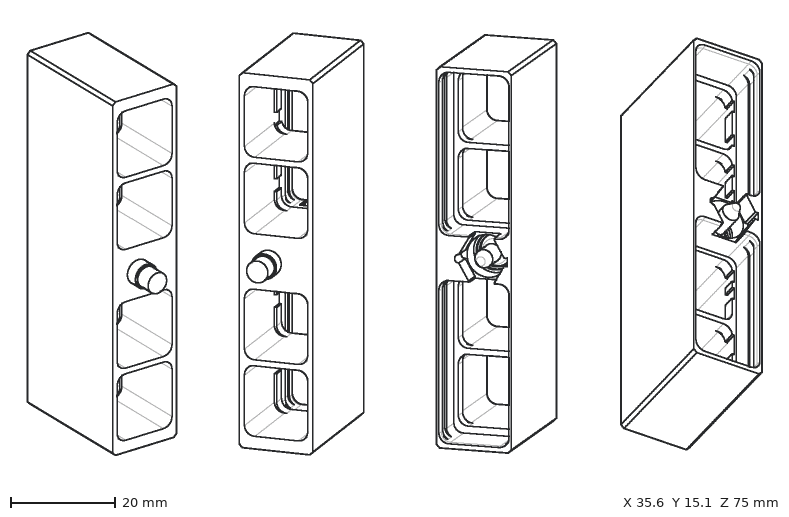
import cadquery as cq
import math

length_x = 28.05
width_y = 15.1
height_z = 75.0
edge_chamfer = 0.7

pocket_half_width = 6.9
pocket_inner_z = 4.6
pocket_outer_z = 36.4
pocket_depth = 8.85
pocket_radius = 1.9
lead_in_depth = 0.9
lead_in_taper = 0.15

groove_start = 2.0
groove_width = 2.25
groove_recess = 0.34
groove_end_gap = 0.15

window_width = 12.0
window_height = 14.1
window_pitch = 15.3
inner_window_z = 12.6
window_radius = 2.0
seat_thickness = 2.7
cavity_side_step = 0.45

notch_height = 2.55
notch_spacing_step = 2.0
notch_top_offset = 1.9

screw_y = -1.5
recess_depth = 4.05
hex_apothem = 4.35
web_slot_half_width = 2.59
key_half_width = 0.8
key_reach = 5.2
pointer_reach = 5.4
counterbore_radius = 4.2
counterbore_depth = 4.1
step_radius = 3.7
step_depth = 4.9
bore_radius = 3.2
bore_end = 9.75
nose_reach = 1.2
nose_radius = 0.9
nose_base_reach = 0.5
cone_radius = 1.8
cone_end = 1.5
flare_start = 6.75
flare_radius = 2.55
flare_end = 8.25

stud_radius = 2.55
stud_length = 2.85
stud_chamfer = 0.2
stud_end_radius = 2.2
stud_reach = 6.3


def plane_at(x, y=0.0, z=0.0):
    """Plane facing +X, with local x along +Y and local y along +Z."""
    return cq.Workplane(cq.Plane(origin=(x, y, z), xDir=(0, 1, 0), normal=(1, 0, 0)))


def rounded_prism(x, z, width, height, depth, radius):
    """Prism along X with rounded corners, centred on y = 0."""
    return plane_at(x, 0, z).rect(width, height).extrude(depth).edges("|X").fillet(radius)


def pocket(side):
    """Tapered mouth, straight pocket and snap groove; side is +1 (upper) or -1 (lower)."""
    mid_z = side * (pocket_inner_z + pocket_outer_z) / 2
    height = pocket_outer_z - pocket_inner_z
    width = 2 * pocket_half_width
    straight = rounded_prism(0, mid_z, width, height, pocket_depth, pocket_radius)
    taper_angle = math.degrees(math.atan(lead_in_taper / lead_in_depth))
    outline = cq.Sketch().rect(width, height).vertices().fillet(pocket_radius)
    mouth = (
        cq.Workplane(cq.Plane(origin=(lead_in_depth, 0, mid_z), xDir=(0, -1, 0), normal=(-1, 0, 0)))
        .placeSketch(outline)
        .extrude(lead_in_depth, taper=-taper_angle)
    )
    groove = rounded_prism(
        groove_start, mid_z, width + 2 * groove_recess, height - 2 * groove_end_gap,
        groove_width, pocket_radius,
    )
    return straight.union(mouth).union(groove)


def window(mid_z, notch_spacing):
    """Seat opening with two coding notches, leading into the wider rear cavity."""
    opening = rounded_prism(pocket_depth, mid_z, window_width, window_height, seat_thickness, window_radius)
    cavity_start = pocket_depth + seat_thickness
    cavity = rounded_prism(
        cavity_start, mid_z, window_width + 2 * cavity_side_step, window_height,
        length_x - cavity_start, window_radius,
    )
    first_notch_z = mid_z + window_height / 2 - notch_top_offset - notch_height / 2
    cutter = opening.union(cavity)
    for notch_z in (first_notch_z, first_notch_z - notch_spacing):
        notch = plane_at(pocket_depth, -window_width / 2, notch_z)
        cutter = cutter.union(notch.rect(2 * cavity_side_step, notch_height).extrude(seat_thickness))
    return cutter


def screw_recess():
    """Keyed hexagonal recess, open to both pockets, with a stepped bore behind it."""
    hexagon = plane_at(0, screw_y).polygon(6, 2 * hex_apothem / math.cos(math.pi / 6)).extrude(recess_depth)
    slot = plane_at(0, screw_y).rect(2 * web_slot_half_width, 2 * pocket_inner_z).extrude(recess_depth)
    key = (
        plane_at(0, screw_y - key_reach / 2)
        .rect(key_reach, 2 * key_half_width)
        .extrude(recess_depth)
    )
    pointer = (
        plane_at(0, screw_y + pointer_reach - key_half_width)
        .circle(key_half_width)
        .extrude(recess_depth)
    )
    cutter = hexagon.union(slot).union(key).union(pointer)
    bore_steps = (
        (counterbore_radius, recess_depth + counterbore_depth),
        (step_radius, recess_depth + step_depth),
        (bore_radius, bore_end),
    )
    for radius, depth in bore_steps:
        cutter = cutter.union(plane_at(0, screw_y).circle(radius).extrude(depth))
    return cutter


def outline_from(x):
    """Start an (x, radius) outline on the screw axis."""
    return cq.Workplane("XY", origin=(0, screw_y, 0)).moveTo(x, 0)


def revolved(outline):
    """Close an outline and revolve it about the screw axis."""
    return outline.close().revolve(360, (0, 0, 0), (1, 0, 0))


def jack_screw():
    """Round-nosed screw standing in the bore, flared where it meets the bore floor."""
    nose_depth = nose_reach - nose_base_reach
    sphere_radius = (nose_depth**2 + nose_radius**2) / (2 * nose_depth)
    mid_depth = nose_depth / 2
    mid_radius = math.sqrt(mid_depth * (2 * sphere_radius - mid_depth))
    outline = (
        outline_from(-nose_reach)
        .threePointArc((mid_depth - nose_reach, mid_radius), (-nose_base_reach, nose_radius))
        .lineTo(cone_end, cone_radius)
        .lineTo(flare_start, cone_radius)
        .lineTo(flare_end, flare_radius)
        .lineTo(bore_end, bore_radius)
        .lineTo(bore_end, 0)
    )
    return revolved(outline)


def stud():
    """Stepped stud on the connector side."""
    shoulder_x = length_x + stud_length
    end_x = length_x + stud_reach
    outline = (
        outline_from(length_x)
        .lineTo(length_x, stud_radius)
        .lineTo(shoulder_x - stud_chamfer, stud_radius)
        .lineTo(shoulder_x, stud_radius - stud_chamfer)
        .lineTo(shoulder_x, stud_end_radius)
        .lineTo(end_x, stud_end_radius)
        .lineTo(end_x, 0)
    )
    return revolved(outline)


housing = plane_at(0).rect(width_y, height_z).extrude(length_x).edges("|X").chamfer(edge_chamfer)
for side in (1, -1):
    housing = housing.cut(pocket(side))

window_centres = (
    inner_window_z + window_pitch,
    inner_window_z,
    -inner_window_z,
    -inner_window_z - window_pitch,
)
for index, centre_z in enumerate(window_centres):
    spacing = (len(window_centres) - index) * notch_spacing_step
    housing = housing.cut(window(centre_z, spacing))

result = housing.cut(screw_recess()).union(jack_screw()).union(stud())